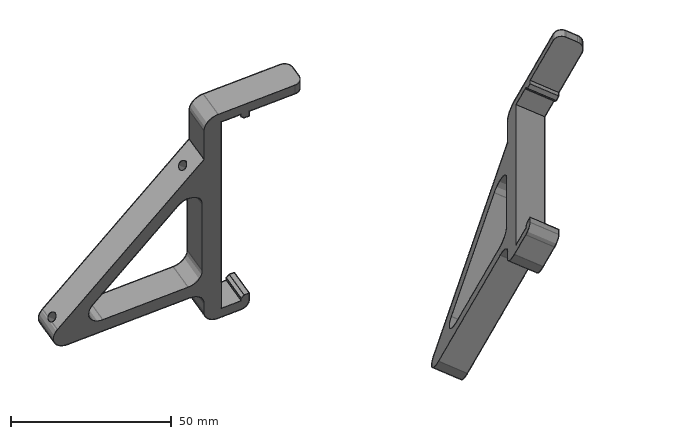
import cadquery as cq
import math

width = 10.0
height = 92.0
depth = 87.95

post_thickness = 6.1
arm_thickness = 4.0
top_arm_length = 28.9
hook_length = 9.8
hook_corner_radius = 3.0
arm_end_radius = 2.9
tooth_width = 2.85
tooth_height = 2.1
tooth_chamfer = 1.0

bend_radius = 5.0
bracket_bottom = 14.1
strut_thickness = 5.15
window_back = 6.7

hole_diameter = 3.2
hole_depth = 10.0
hole_heights = (23.3, 69.2)

tip_y = top_arm_length - depth
tip_round_y = tip_y + bend_radius
tip_round_z = bracket_bottom + bend_radius
slope_sum = tip_round_z - tip_round_y + bend_radius * math.sqrt(2)
window_slope_sum = slope_sum - strut_thickness * math.sqrt(2)
window_bottom = bracket_bottom + strut_thickness


def prism(points):
    """Extrude a closed YZ outline across the width, centred on X = 0."""
    return cq.Workplane("YZ").polyline(points).close().extrude(width / 2, both=True)


def edge_at(y, z):
    """Select the X-direction edge running through the given Y and Z."""
    return cq.selectors.NearestToPointSelector((0, y, z))


def make_post_and_arms():
    body = prism([
        (top_arm_length, height),
        (-post_thickness, height),
        (-post_thickness, 0),
        (hook_length, 0),
        (hook_length, arm_thickness),
        (0, arm_thickness),
        (0, height - arm_thickness),
        (top_arm_length, height - arm_thickness),
    ])
    for corner_z in (0, height):
        body = body.edges(edge_at(-post_thickness, corner_z)).fillet(bend_radius)
    body = body.edges(edge_at(hook_length, 0)).fillet(hook_corner_radius)
    return body.faces(">Y").edges("|Z").fillet(arm_end_radius)


def make_tooth(root_z, direction):
    """Retaining tooth rising from an arm; direction is +1 for up, -1 for down."""
    inner_y = hook_length - tooth_width
    tip_z = root_z + direction * tooth_height
    return prism([
        (hook_length, root_z),
        (hook_length, tip_z),
        (inner_y + tooth_chamfer, tip_z),
        (inner_y, tip_z - direction * tooth_chamfer),
        (inner_y, root_z),
    ])


def make_bracket():
    bracket = prism([
        (-post_thickness, bracket_bottom),
        (bracket_bottom - slope_sum, bracket_bottom),
        (-post_thickness, slope_sum - post_thickness),
    ])
    return bracket.edges("<Y").fillet(bend_radius)


def make_window():
    window = prism([
        (-window_back, window_bottom),
        (window_bottom - window_slope_sum, window_bottom),
        (-window_back, window_slope_sum - window_back),
    ])
    return window.edges("|X").fillet(bend_radius)


def make_hole(center_z):
    mouth = cq.Vector(0, center_z - slope_sum, center_z)
    inward = cq.Vector(0, 1, -1).normalized()
    start = mouth - inward * hole_diameter
    return cq.Solid.makeCylinder(hole_diameter / 2, hole_depth + hole_diameter, start, inward)


body = make_post_and_arms().union(make_bracket())
body = body.edges(edge_at(-post_thickness, bracket_bottom)).fillet(bend_radius)
body = body.union(make_tooth(arm_thickness, 1))
body = body.union(make_tooth(height - arm_thickness, -1))
body = body.cut(make_window())
for hole_height in hole_heights:
    body = body.cut(make_hole(hole_height))

result = body